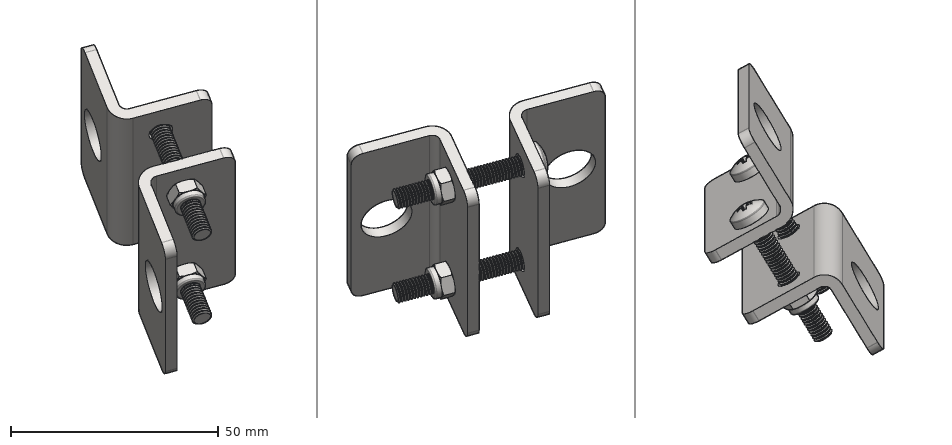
import cadquery as cq
import math

overall_length = 65.0
bracket_height = 53.0
leg_length = 25.0
web_gap = 15.0
plate_thickness = 3.0
inner_bend_radius = 2.0
corner_radius = 3.0

mounting_hole_diameter = 13.0
mounting_hole_edge_distance = 9.05

screw_spacing = 35.05
screw_y = 12.0
clearance_hole_diameter = 6.0

thread_diameter = 5.0
thread_root_diameter = 4.2
shank_length = 35.0
thread_ridge_count = 44
thread_pitch = shank_length / thread_ridge_count
thread_crest_width = thread_pitch / 8
thread_root_width = thread_pitch / 4
head_diameter = 9.55
head_height = 3.65
head_rim_height = 2.1
head_rim_fillet = 0.25

recess_span = 4.55
recess_arm_width = 1.1
recess_core_diameter = 2.0
recess_arm_depth = 2.2
recess_core_depth = 2.7

nut_sides = 6
nut_across_flats = 8.0
nut_hex_height = 3.3
nut_height = 5.0
nut_corner_chamfer_depth = 0.25
nut_corner_chamfer_width = 0.5
collar_diameter = 7.8
collar_fillet = 0.4

flange_end_x = overall_length / 2
web_inner_x = web_gap / 2
web_outer_x = web_inner_x + plate_thickness
outer_bend_radius = inner_bend_radius + plate_thickness
mounting_hole_x = flange_end_x - mounting_hole_edge_distance
screw_heights = (-screw_spacing / 2, screw_spacing / 2)


def make_right_bracket():
    """L-shaped bracket: flange along X, web along Y, bent around Z."""
    profile = (
        cq.Workplane("XY", origin=(0, 0, -bracket_height / 2))
        .moveTo(flange_end_x, 0)
        .lineTo(web_inner_x + outer_bend_radius, 0)
        .radiusArc((web_inner_x, outer_bend_radius), outer_bend_radius)
        .lineTo(web_inner_x, leg_length)
        .lineTo(web_outer_x, leg_length)
        .lineTo(web_outer_x, outer_bend_radius)
        .radiusArc((web_outer_x + inner_bend_radius, plate_thickness), -inner_bend_radius)
        .lineTo(flange_end_x, plate_thickness)
        .close()
    )
    bracket = profile.extrude(bracket_height)

    bracket = bracket.faces(">X").edges("|Y").fillet(corner_radius)
    bracket = bracket.faces(">Y").edges("|X").fillet(corner_radius)

    mounting_hole = (
        cq.Workplane("XZ", origin=(mounting_hole_x, 0, 0))
        .circle(mounting_hole_diameter / 2)
        .extrude(-plate_thickness)
    )
    screw_holes = (
        cq.Workplane("YZ", origin=(web_inner_x, 0, 0))
        .pushPoints([(screw_y, z) for z in screw_heights])
        .circle(clearance_hole_diameter / 2)
        .extrude(plate_thickness)
    )
    return bracket.cut(mounting_hole).cut(screw_holes)


def make_shank():
    """Threaded shank from X = 0 along +X, with one flat-topped ridge per pitch."""
    root_radius = thread_root_diameter / 2
    crest_radius = thread_diameter / 2
    ridge_base_half_width = (thread_pitch - thread_root_width) / 2

    profile = cq.Workplane("XY").lineTo(0, root_radius)
    for ridge in range(thread_ridge_count):
        ridge_x = (ridge + 0.5) * thread_pitch
        profile = profile.lineTo(ridge_x - ridge_base_half_width, root_radius)
        profile = profile.lineTo(ridge_x - thread_crest_width / 2, crest_radius)
        profile = profile.lineTo(ridge_x + thread_crest_width / 2, crest_radius)
        profile = profile.lineTo(ridge_x + ridge_base_half_width, root_radius)
    profile = profile.lineTo(shank_length, root_radius).lineTo(shank_length, 0).close()
    return profile.revolve(360, (0, 0, 0), (1, 0, 0))


def make_head():
    """Pan head with its flat underside at X = 0 and a domed top toward -X."""
    head_radius = head_diameter / 2
    dome_rise = head_height - head_rim_height
    dome_radius = (head_radius**2 + dome_rise**2) / (2 * dome_rise)
    head = (
        cq.Workplane("XY")
        .lineTo(0, head_radius)
        .lineTo(-head_rim_height, head_radius)
        .radiusArc((-head_height, 0), -dome_radius)
        .close()
        .revolve(360, (0, 0, 0), (1, 0, 0))
    )
    rim_edge = cq.selectors.BoxSelector(
        (-head_rim_height - head_rim_fillet, -head_diameter, -head_diameter),
        (-head_rim_height + head_rim_fillet, head_diameter, head_diameter),
    )
    return head.edges(rim_edge).fillet(head_rim_fillet)


def make_cross_recess():
    """Two crossed slots with sloping floors around a round core with a conical bottom."""
    core_radius = recess_core_diameter / 2
    arm_reach = recess_span / 2
    arm_floor_x = recess_arm_depth - head_height

    core = (
        cq.Workplane("XY", origin=(-head_height, 0, 0))
        .lineTo(0, core_radius)
        .lineTo(recess_arm_depth, core_radius)
        .lineTo(recess_core_depth, 0)
        .close()
        .revolve(360, (0, 0, 0), (1, 0, 0))
    )
    slot = (
        cq.Workplane("XY")
        .moveTo(-head_height, -arm_reach)
        .lineTo(-head_height, arm_reach)
        .lineTo(arm_floor_x, core_radius)
        .lineTo(arm_floor_x, -core_radius)
        .close()
        .extrude(recess_arm_width / 2, both=True)
    )
    return core.union(slot).union(slot.rotate((0, 0, 0), (1, 0, 0), 90))


def make_screw(z):
    """Screw seated with its head on the outer face of the left web."""
    screw = make_head().union(make_shank()).cut(make_cross_recess())
    return screw.translate((-web_outer_x, screw_y, z))


def make_nut(z):
    """Lock nut seated on the outer face of the right web."""
    hex_corner_diameter = nut_across_flats / math.cos(math.pi / nut_sides)
    corner_radius_full = hex_corner_diameter / 2
    corner_radius_end = corner_radius_full - nut_corner_chamfer_width

    hexagon = cq.Workplane("YZ").polygon(nut_sides, hex_corner_diameter).extrude(nut_hex_height)
    turned_blank = (
        cq.Workplane("XY")
        .lineTo(0, corner_radius_end)
        .lineTo(nut_corner_chamfer_depth, corner_radius_full)
        .lineTo(nut_hex_height - nut_corner_chamfer_depth, corner_radius_full)
        .lineTo(nut_hex_height, corner_radius_end)
        .lineTo(nut_hex_height, 0)
        .close()
        .revolve(360, (0, 0, 0), (1, 0, 0))
    )
    collar = (
        cq.Workplane("YZ")
        .circle(collar_diameter / 2)
        .extrude(nut_height)
        .faces(">X")
        .edges()
        .fillet(collar_fillet)
    )
    bore = cq.Workplane("YZ").circle(thread_diameter / 2).extrude(nut_height)
    nut = hexagon.intersect(turned_blank).union(collar).cut(bore)
    return nut.translate((web_outer_x, screw_y, z))


right_bracket = make_right_bracket()
left_bracket = right_bracket.mirror("YZ")
screws = [make_screw(z) for z in screw_heights]
nuts = [make_nut(z) for z in screw_heights]

result = cq.Compound.makeCompound(
    [left_bracket.val(), right_bracket.val()]
    + [screw.val() for screw in screws]
    + [nut.val() for nut in nuts]
)